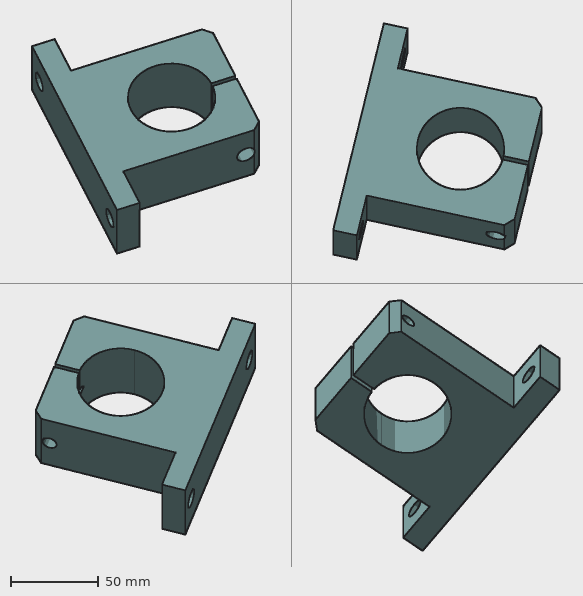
import cadquery as cq

base_length = 130.0
height = 100.0
depth = 40.0

base_thickness = 14.0
block_width = 80.0
corner_chamfer = 5.0

bore_diameter = 50.0
bore_center_y = 60.0
slit_width = 2.2

mount_hole_diameter = 11.0
mount_hole_spacing = 108.0
narrow_clamp_diameter = 8.5
wide_clamp_diameter = 11.0
clamp_hole_from_top = 10.0


def make_body():
    """Inverted-T body, with the base along X and the block rising along +Y."""
    base = cq.Workplane("XY").box(base_length, base_thickness, depth, centered=(True, False, True))
    block = cq.Workplane("XY").box(block_width, height, depth, centered=(True, False, True))
    block = block.faces(">Y").edges("|Z").chamfer(corner_chamfer)
    return base.union(block)


def cut_bore_and_slit(body):
    """Cut the shaft bore along Z and the slit from the bore to the top."""
    bore = cq.Workplane("XY").center(0, bore_center_y).circle(bore_diameter / 2).extrude(depth / 2, both=True)
    slit_length = height - bore_center_y
    slit = (
        cq.Workplane("XY")
        .center(0, bore_center_y + slit_length / 2)
        .rect(slit_width, slit_length)
        .extrude(depth / 2, both=True)
    )
    return body.cut(bore).cut(slit)


def cut_mount_holes(body):
    """Drill one hole along Y through each base flange."""
    holes = (
        cq.Workplane("XZ")
        .pushPoints([(side * mount_hole_spacing / 2, 0) for side in (-1, 1)])
        .circle(mount_hole_diameter / 2)
        .extrude(-base_thickness)
    )
    return body.cut(holes)


def jaw_hole(diameter, side):
    """Cylinder along X from the middle of the slit out through one jaw."""
    return (
        cq.Workplane("YZ")
        .center(height - clamp_hole_from_top, 0)
        .circle(diameter / 2)
        .extrude(side * block_width / 2)
    )


def cut_clamp_holes(body):
    """Drill the narrow bolt hole in the -X jaw and the wider one in the +X jaw."""
    narrow_hole = jaw_hole(narrow_clamp_diameter, -1)
    wide_hole = jaw_hole(wide_clamp_diameter, 1)
    return body.cut(narrow_hole).cut(wide_hole)


body = cut_bore_and_slit(make_body())
body = cut_mount_holes(body)
result = cut_clamp_holes(body)